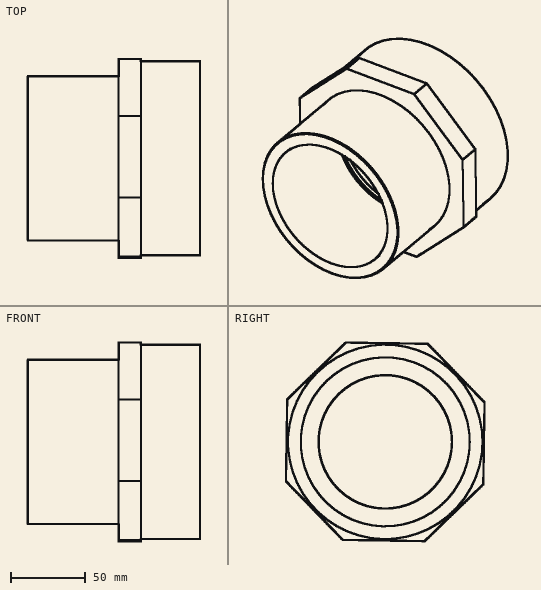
import cadquery as cq
import math

total_length = 115.4
spigot_length = 60.9
collar_length = 15.0
socket_floor_x = spigot_length + collar_length
socket_depth = total_length - socket_floor_x

spigot_diameter = 110.0
bore_diameter = 93.0
socket_outer_diameter = 130.0
socket_inner_diameter = 113.0
seal_inner_diameter = 89.0

end_chamfer = 0.5
seal_thickness = 3.3

collar_size = 132.9
collar_sides = 8
collar_turn = -0.9
half_side_angle = 180 / collar_sides
corner_radius = collar_size / 2 / math.cos(math.radians(half_side_angle + collar_turn))


def cylinder(start_x, length, diameter):
    """Solid cylinder on the X axis."""
    return cq.Workplane("YZ", origin=(start_x, 0, 0)).circle(diameter / 2).extrude(length)


def make_collar():
    """Octagonal wrench collar between the spigot and the socket."""
    corners = []
    for index in range(collar_sides):
        angle = math.radians((2 * index + 1) * half_side_angle + collar_turn)
        corners.append((corner_radius * math.cos(angle), corner_radius * math.sin(angle)))
    return cq.Workplane("YZ", origin=(spigot_length, 0, 0)).polyline(corners).close().extrude(collar_length)


def make_adapter():
    """Spigot, collar and socket in one piece, bored through and counterbored."""
    spigot = cylinder(0, spigot_length, spigot_diameter).faces("<X").chamfer(end_chamfer)
    socket = cylinder(socket_floor_x, socket_depth, socket_outer_diameter)
    body = spigot.union(make_collar()).union(socket)
    body = body.cut(cylinder(0, total_length, bore_diameter))
    return body.cut(cylinder(socket_floor_x, socket_depth, socket_inner_diameter))


def make_seal():
    """Flat ring on the socket floor, its inner edge reaching into the bore."""
    disc = cylinder(socket_floor_x, seal_thickness, socket_inner_diameter)
    return disc.cut(cylinder(socket_floor_x, seal_thickness, seal_inner_diameter))


adapter = make_adapter()
seal = make_seal()
result = cq.Compound.makeCompound([adapter.val(), seal.val()])